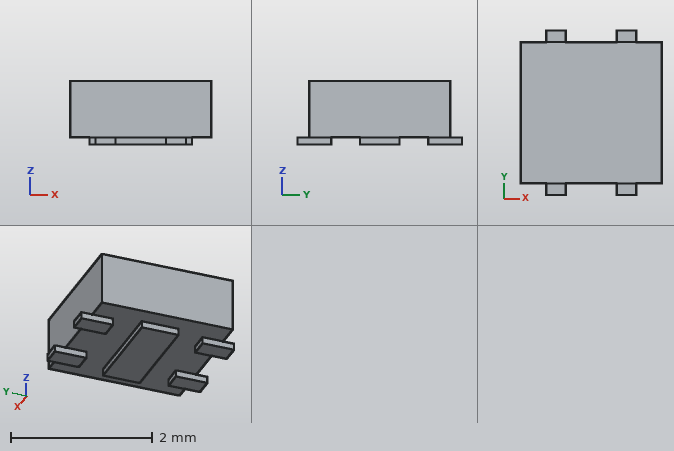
import cadquery as cq

housing_side = 2.0
housing_height = 0.8

terminal_thickness = 0.1
overall_length = 2.33

lead_width = 0.28
lead_length = 0.48
lead_pitch = 1.0
lead_center_x = lead_pitch / 2
lead_center_y = (overall_length - lead_length) / 2

pad_length = 1.455
pad_width = 0.56


def block(size_x, size_y, height):
    """Box centred on the Z axis with its underside at Z = 0."""
    return cq.Workplane("XY").box(size_x, size_y, height, centered=(True, True, False))


def make_housing():
    """Block resting on top of the terminals."""
    return block(housing_side, housing_side, housing_height).translate((0, 0, terminal_thickness))


def make_center_pad():
    """Plate under the middle of the housing."""
    return block(pad_length, pad_width, terminal_thickness)


def make_lead(center_x, center_y):
    """Corner lead that sticks out past the housing in Y."""
    return block(lead_width, lead_length, terminal_thickness).translate((center_x, center_y, 0))


housing = make_housing()
center_pad = make_center_pad()
leads = [
    make_lead(side_x * lead_center_x, side_y * lead_center_y)
    for side_x in (-1, 1)
    for side_y in (-1, 1)
]

result = cq.Compound.makeCompound(
    [housing.val(), center_pad.val(), *[lead.val() for lead in leads]]
)